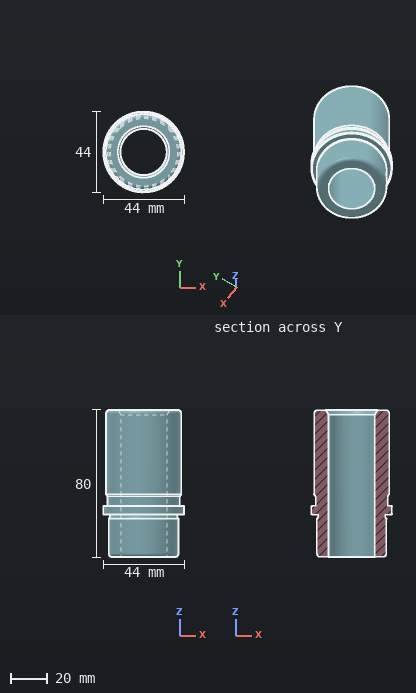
import cadquery as cq
import math

total_height = 80.0
collar_bottom = 23.0
collar_height = 5.0
head_bottom = 34.15
collar_top = collar_bottom + collar_height

shank_radius = 19.0
undercut_radius = 18.35
collar_radius = 22.0
neck_radius = 19.75
head_radius = 20.5
bore_radius = 12.5

head_fillet = 2.0
shank_fillet = 2.0
collar_chamfer_width = 0.5
collar_chamfer_height = 0.4
head_chamfer_height = 1.15
undercut_height = 2.0
undercut_arc_radius = 2.0
countersink_radius = 14.0
countersink_depth = 2.6


def revolve_about_z(profile):
    """Turn a closed (radius, height) outline once around the Z axis."""
    return profile.revolve(360, (0, 0, 0), (0, 1, 0))


def arc_middle_inset(fillet_radius):
    """Distance from each tangent side to the middle of a quarter-round edge."""
    return fillet_radius * (1 - math.sqrt(0.5))


def make_outer_body():
    """Revolve the stepped outer outline into a solid body."""
    shank_inset = arc_middle_inset(shank_fillet)
    head_inset = arc_middle_inset(head_fillet)
    profile = (
        cq.Workplane("XZ")
        .moveTo(0, 0)
        .lineTo(shank_radius - shank_fillet, 0)
        .threePointArc(
            (shank_radius - shank_inset, shank_inset),
            (shank_radius, shank_fillet),
        )
        .lineTo(shank_radius, collar_bottom - undercut_height)
        .radiusArc((undercut_radius, collar_bottom), undercut_arc_radius)
        .lineTo(collar_radius - collar_chamfer_width, collar_bottom)
        .lineTo(collar_radius, collar_bottom + collar_chamfer_height)
        .lineTo(collar_radius, collar_top - collar_chamfer_height)
        .lineTo(collar_radius - collar_chamfer_width, collar_top)
        .lineTo(neck_radius, collar_top)
        .lineTo(neck_radius, head_bottom - head_chamfer_height)
        .lineTo(head_radius, head_bottom)
        .lineTo(head_radius, total_height - head_fillet)
        .threePointArc(
            (head_radius - head_inset, total_height - head_inset),
            (head_radius - head_fillet, total_height),
        )
        .lineTo(0, total_height)
        .close()
    )
    return revolve_about_z(profile)


def make_bore():
    """Through bore opened by a conical countersink at the top face."""
    profile = (
        cq.Workplane("XZ")
        .moveTo(0, 0)
        .lineTo(bore_radius, 0)
        .lineTo(bore_radius, total_height - countersink_depth)
        .lineTo(countersink_radius, total_height)
        .lineTo(0, total_height)
        .close()
    )
    return revolve_about_z(profile)


result = make_outer_body().cut(make_bore())